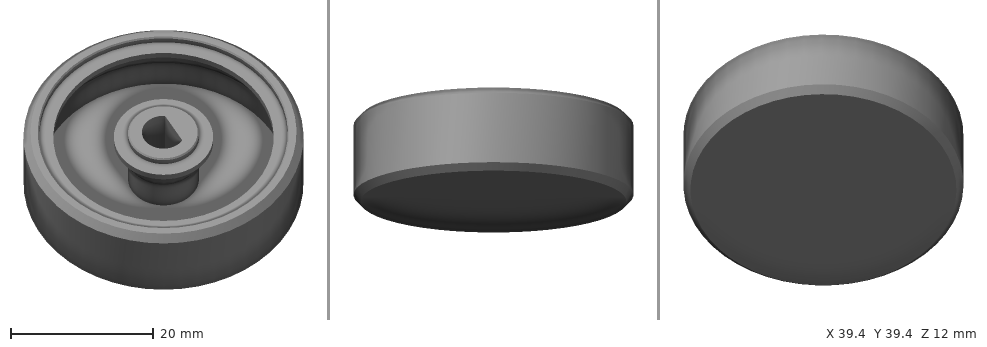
import cadquery as cq
import math

outer_radius = 19.7
height = 12.0
outer_chamfer = 1.0
floor_thickness = 2.0

hub_radius = 5.0
wall_radius = 17.5
entry_chamfer = 0.2

flange_diameter = 14.0
shoulder_recess = 1.02
shoulder_land = 1.0
flare_height = 3.45

socket_radius = 3.05
socket_flat = 1.6

shoulder_top = height - shoulder_recess
flare_top = shoulder_top - shoulder_land
flange_radius = flange_diameter / 2
shoulder_width = flange_radius - hub_radius
lip_radius = wall_radius - shoulder_width
flare_base = flare_top - flare_height


def make_body():
    """Revolve the half section of the housing and hub about Z."""
    section = (
        cq.Workplane("XZ")
        .moveTo(0, 0)
        .lineTo(outer_radius - outer_chamfer, 0)
        .lineTo(outer_radius, outer_chamfer)
        .lineTo(outer_radius, height - outer_chamfer)
        .lineTo(outer_radius - outer_chamfer, height)
        .lineTo(wall_radius + entry_chamfer, height)
        .lineTo(wall_radius, height - entry_chamfer)
        .lineTo(wall_radius, shoulder_top)
        .lineTo(lip_radius, shoulder_top)
        .lineTo(lip_radius, flare_top)
        .lineTo(wall_radius, flare_base)
        .lineTo(wall_radius, floor_thickness)
        .lineTo(hub_radius, floor_thickness)
        .lineTo(hub_radius, flare_base)
        .lineTo(flange_radius, flare_top)
        .lineTo(flange_radius, shoulder_top)
        .lineTo(hub_radius, shoulder_top)
        .lineTo(hub_radius, height - entry_chamfer)
        .lineTo(hub_radius - entry_chamfer, height)
        .lineTo(0, height)
        .close()
    )
    return section.revolve(360, (0, 0, 0), (0, 1, 0))


def make_socket():
    """D-shaped blind socket, flat toward +Y, reaching down to the floor level."""
    half_flat = math.sqrt(socket_radius**2 - socket_flat**2)
    return (
        cq.Workplane("XY", origin=(0, 0, floor_thickness))
        .moveTo(-half_flat, socket_flat)
        .threePointArc((0, -socket_radius), (half_flat, socket_flat))
        .close()
        .extrude(height - floor_thickness)
    )


result = make_body().cut(make_socket())